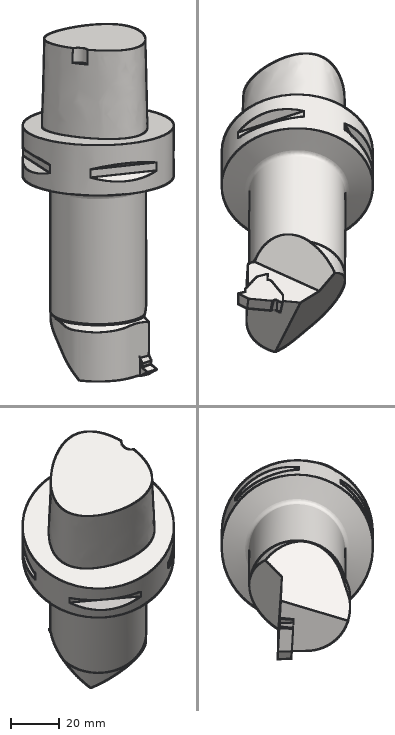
import cadquery as cq
import math


overall_length = 143.8

shank_length = 37.8
shank_mean_radius = 22.0
shank_lobe = 1.6
shank_scale_at_top = 0.957
outline_steps = 36

notch_radius = 4.0
notch_center_y = -21.7
notch_depth = 6.3

flange_radius = 31.5
flange_height = 21.7
flange_underside_angle = 15.0
groove_count = 4
groove_first_azimuth = 45.0
groove_floor_offset = 27.7
groove_floor_width = 3.5
groove_wall_angle = 30.0
groove_center_z = -12.2

neck_radius = 20.0
neck_fillet = 2.2
neck_end_z = -80.2

head_core_step = 0.07
head_core_radius = neck_radius - head_core_step
head_reach = 22.6
head_blend_radius = 11.2
bulge_front_width = 1.6
bulge_radius = 18.0
side_face_angle = 19.0
side_face_length = 14.4
head_cone_start_z = -80.8
head_cone_angle = 37.0
head_bottom_z = -104.2
head_bottom_drop = 0.6
slant_angle = 48.3
slant_start_z = -80.8

rake_angle = 15.0
tip_x = 26.5
insert_thickness = 5.8
insert_relief_angle = 3.0
insert_arms = 3
edge_end = (6.0, -6.3)
arm_tip = (10.4, -3.6)
arm_notch = (7.2, -1.9)
edge_start = (7.5, -0.3)

pocket_tilt = 29.0
pocket_ramp_angle = 41.0
pocket_edge_height = 13.8

tip_clearance_x = 20.8
tip_clearance_top_z = -97.5

oversize = 86.3


def polar(radius, degrees, center=(0, 0)):
    angle = math.radians(degrees)
    return (center[0] + radius * math.cos(angle), center[1] + radius * math.sin(angle))


def shank_outline(scale):
    """Points of a three-lobed trochoid with one lobe on +Y."""
    points = []
    for step in range(outline_steps):
        turn = 2 * math.pi * step / outline_steps
        x = shank_mean_radius * math.sin(turn) - shank_lobe * math.sin(2 * turn)
        y = shank_mean_radius * math.cos(turn) + shank_lobe * math.cos(2 * turn)
        points.append((scale * x, scale * y))
    return points


def make_shank():
    shank = (
        cq.Workplane("XY")
        .spline(shank_outline(1.0), periodic=True).close()
        .workplane(offset=shank_length)
        .spline(shank_outline(shank_scale_at_top), periodic=True).close()
        .loft(ruled=True)
    )
    notch = (
        cq.Workplane("XY", origin=(0, notch_center_y, shank_length - notch_depth))
        .circle(notch_radius).extrude(notch_depth)
    )
    return shank.cut(notch)


def make_flange_and_neck():
    """Turned flange, conical underside, filleted root and neck."""
    slope = math.radians(flange_underside_angle)
    cone_drop = (flange_radius - neck_radius) * math.tan(slope)
    root_z = -flange_height - cone_drop
    turned = (
        cq.Workplane("XZ")
        .moveTo(0, 0)
        .lineTo(flange_radius, 0)
        .lineTo(flange_radius, -flange_height)
        .lineTo(neck_radius, root_z)
        .lineTo(neck_radius, neck_end_z)
        .lineTo(0, neck_end_z)
        .close()
        .revolve(360, (0, 0, 0), (0, 1, 0))
    )
    root_point = (0, neck_radius, root_z)
    return turned.edges(cq.selectors.NearestToPointSelector(root_point)).fillet(neck_fillet)


def make_gripper_groove():
    """Straight groove with a flat floor and flared walls, across the +X side."""
    depth = flange_radius - groove_floor_offset
    flare = depth * math.tan(math.radians(groove_wall_angle))
    floor_half = groove_floor_width / 2
    mouth_half = floor_half + flare
    return (
        cq.Workplane("XZ", origin=(0, 0, groove_center_z))
        .polyline([
            (groove_floor_offset, -floor_half),
            (flange_radius, -mouth_half),
            (flange_radius, mouth_half),
            (groove_floor_offset, floor_half),
        ])
        .close()
        .extrude(flange_radius, both=True)
    )


def make_bulge_prism():
    """Upright bulge: flank tangent to the round core, blend, front strip, arc and flat side face."""
    height = neck_end_z - head_bottom_z + head_bottom_drop

    blend_y = -head_reach + head_blend_radius
    flank_angle = -90 - math.degrees(math.acos((head_core_radius - head_blend_radius) / -blend_y))
    flank_start = polar(head_core_radius, flank_angle)
    blend_start = polar(head_blend_radius, flank_angle, (0, blend_y))
    blend_mid = polar(head_blend_radius, (flank_angle - 90) / 2, (0, blend_y))

    bulge_center = (bulge_front_width, -head_reach + bulge_radius)
    bulge_mid = polar(bulge_radius, -(90 + side_face_angle) / 2, bulge_center)
    bulge_end = polar(bulge_radius, -side_face_angle, bulge_center)
    side_end = polar(side_face_length, 90 - side_face_angle, bulge_end)

    return (
        cq.Workplane("XY", origin=(0, 0, neck_end_z))
        .moveTo(*flank_start)
        .lineTo(*blend_start)
        .threePointArc(blend_mid, (0, -head_reach))
        .lineTo(bulge_front_width, -head_reach)
        .threePointArc(bulge_mid, bulge_end)
        .lineTo(*side_end)
        .lineTo(0, 0)
        .close()
        .extrude(-height)
    )


def make_bulge_envelope():
    """Turned envelope: a cone that widens downward from the core."""
    bottom_z = head_bottom_z - head_bottom_drop
    cone_drop = (flange_radius - head_core_radius) * math.tan(math.radians(head_cone_angle))
    return (
        cq.Workplane("XZ")
        .polyline([
            (0, head_cone_start_z),
            (head_core_radius, head_cone_start_z),
            (flange_radius, head_cone_start_z - cone_drop),
            (flange_radius, bottom_z),
            (0, bottom_z),
        ])
        .close()
        .revolve(360, (0, 0, 0), (0, 1, 0))
    )


def make_head():
    height = neck_end_z - head_bottom_z + head_bottom_drop
    core = cq.Workplane("XY", origin=(0, 0, neck_end_z)).circle(head_core_radius).extrude(-height)
    return core.union(make_bulge_prism().intersect(make_bulge_envelope()))


def make_bottom_cutter():
    """Space below the slightly tilted end face."""
    tilt_low_z = head_bottom_z - head_bottom_drop
    return (
        cq.Workplane("YZ")
        .polyline([
            (-head_reach, head_bottom_z),
            (neck_radius, tilt_low_z),
            (neck_radius, tilt_low_z - oversize),
            (-head_reach, tilt_low_z - oversize),
        ])
        .close()
        .extrude(oversize, both=True)
    )


def make_slant_cutter():
    """Space under the relief plane on the -X side."""
    drop = oversize * math.tan(math.radians(slant_angle))
    return (
        cq.Workplane("XZ")
        .polyline([
            (-neck_radius, slant_start_z),
            (-neck_radius + oversize, slant_start_z - drop),
            (-neck_radius, slant_start_z - drop),
        ])
        .close()
        .extrude(oversize, both=True)
    )


rake = math.radians(rake_angle)
rake_along = cq.Vector(math.cos(rake), -math.sin(rake), 0)
rake_outward = cq.Vector(math.sin(rake), math.cos(rake), 0)


def insert_outline():
    points = []
    for arm in range(insert_arms):
        turn = math.radians(arm * 360 / insert_arms)
        for along, up in (edge_end, arm_tip, arm_notch, edge_start):
            points.append((
                along * math.cos(turn) - up * math.sin(turn),
                along * math.sin(turn) + up * math.cos(turn),
            ))
    return points


lowest_insert_point = min(up for along, up in insert_outline())
insert_center = cq.Vector(
    tip_x - arm_tip[0] * rake_along.x,
    -arm_tip[0] * rake_along.y,
    shank_length - overall_length - lowest_insert_point,
)


def make_insert():
    """Plate that tapers from its top face down to its seat."""
    top_face = cq.Plane(origin=insert_center, xDir=rake_along, normal=-rake_outward)
    return (
        cq.Workplane(top_face)
        .polyline(insert_outline())
        .close()
        .extrude(insert_thickness, taper=insert_relief_angle)
    )


def make_chip_pocket_cutter():
    """Space in front of the rake face and below a leaning ramp."""
    tilt = math.radians(pocket_tilt)
    edge_direction = rake_along * math.cos(tilt) + cq.Vector(0, 0, math.sin(tilt))
    section = cq.Plane(origin=insert_center, xDir=rake_outward, normal=edge_direction)
    ramp_rise = oversize * math.tan(math.radians(pocket_ramp_angle))
    return (
        cq.Workplane(section)
        .polyline([
            (0, -oversize),
            (0, pocket_edge_height),
            (oversize, pocket_edge_height + ramp_rise),
            (oversize, -oversize),
        ])
        .close()
        .extrude(oversize, both=True)
    )


def make_tip_clearance():
    """Corner of the head removed beside the cutting tip."""
    return (
        cq.Workplane("XY", origin=(tip_clearance_x, 0, tip_clearance_top_z))
        .rect(oversize, oversize)
        .extrude(-oversize)
        .translate((oversize / 2, 0, 0))
    )


def make_holder(insert):
    holder = make_flange_and_neck().union(make_head()).union(make_shank())
    groove = make_gripper_groove()
    for index in range(groove_count):
        azimuth = groove_first_azimuth + index * 360 / groove_count
        holder = holder.cut(groove.rotate((0, 0, 0), (0, 0, 1), azimuth))
    holder = holder.cut(make_bottom_cutter()).cut(make_slant_cutter())
    holder = holder.cut(make_chip_pocket_cutter()).cut(make_tip_clearance())
    return holder.cut(insert)


threading_insert = make_insert()
holder = make_holder(threading_insert)

result = cq.Compound.makeCompound([holder.solids().val(), threading_insert.val()])